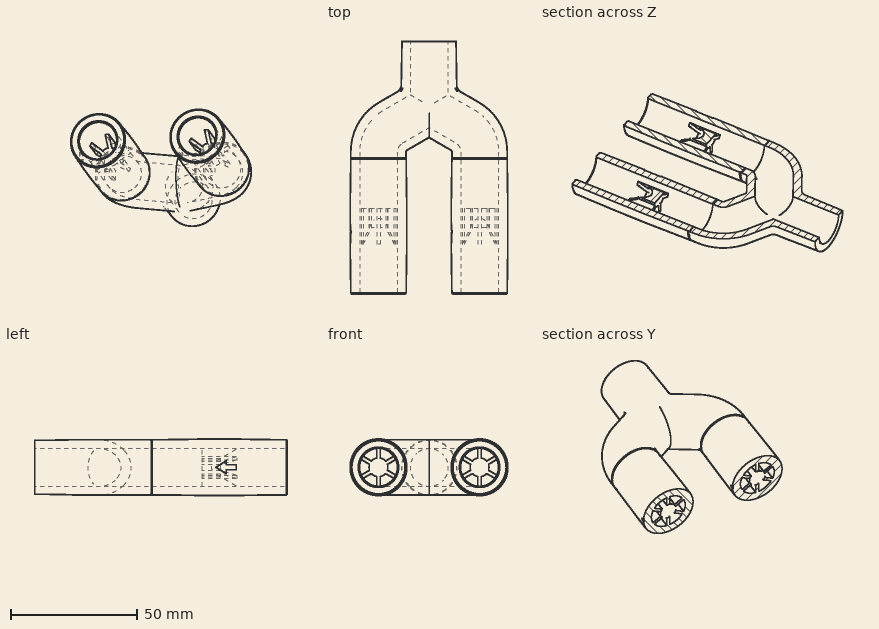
import cadquery as cq
import math


leg_spacing = 40.0
pipe_radius = 11.0
bore_radius = 7.5

valve_length = 54.0
band_radius = 11.25
band_length = 14.0
edge_chamfer = 0.5
arrow_tail_gap = 0.3
arrow_length = 8.0
arrow_head_length = 4.0
arrow_head_width = 5.0
arrow_shaft_width = 2.0
arrow_depth = 0.2

spoke_count = 6
spoke_width = 1.5
spoke_reach = 9.0
hub_radius = 3.75
dish_radius = 2.5
funnel_half_angle = 30.0

total_length = 100.09
leg_stub_length = 2.5
bend_angle = 60.0
bend_radius = 11.5
outlet_length = 16.0
outlet_end_radius = 10.75
neck_fillet = 3.0

band_start = (valve_length - band_length) / 2
band_end = band_start + band_length

funnel_slope = 1 / math.tan(math.radians(funnel_half_angle))
funnel_end = band_start + (bore_radius - dish_radius) * funnel_slope
dish_sphere_radius = dish_radius / math.cos(math.radians(funnel_half_angle))
dish_center_y = funnel_end - dish_sphere_radius * math.sin(math.radians(funnel_half_angle))
dish_bottom = dish_center_y + dish_sphere_radius

bend_start = valve_length + leg_stub_length
leg_x = leg_spacing / 2
pivot_x = leg_x - bend_radius
bend_radians = math.radians(bend_angle)
branch_start_x = pivot_x + bend_radius * math.cos(bend_radians)
branch_start_y = bend_start + bend_radius * math.sin(bend_radians)
branch_meet_y = branch_start_y + branch_start_x / math.tan(bend_radians)
branch_length = branch_start_x / math.sin(bend_radians)
outlet_start = total_length - outlet_length


def rod(radius, start_y, end_y):
    """Cylinder along +Y centred on the Y axis."""
    return cq.Workplane("XZ", origin=(0, start_y, 0)).circle(radius).extrude(start_y - end_y)


def revolve_about_y(profile):
    return profile.revolve(360, (0, 0, 0), (0, 1, 0))


def valve_shell():
    outer_end = pipe_radius - edge_chamfer
    bore_end = bore_radius + edge_chamfer
    profile = (
        cq.Workplane("XY")
        .moveTo(bore_end, 0)
        .lineTo(outer_end, 0)
        .lineTo(pipe_radius, edge_chamfer)
        .lineTo(band_radius, band_start)
        .lineTo(band_radius, band_end)
        .lineTo(pipe_radius, valve_length - edge_chamfer)
        .lineTo(outer_end, valve_length)
        .lineTo(bore_radius, valve_length)
        .lineTo(bore_radius, edge_chamfer)
        .close()
    )
    return revolve_about_y(profile)


def spider():
    """Hub and spokes, with a funnel and a round dish sunk into the -Y side."""
    body = rod(hub_radius, band_start, band_end)
    for index in range(spoke_count):
        spoke = (
            cq.Workplane("XY")
            .box(spoke_width, band_length, spoke_reach, centered=(True, False, False))
            .translate((0, band_start, 0))
            .rotate((0, 0, 0), (0, 1, 0), index * 360 / spoke_count)
        )
        body = body.union(spoke)
    dish_angle = math.radians((90 + funnel_half_angle) / 2)
    funnel = (
        cq.Workplane("XY")
        .moveTo(0, band_start)
        .lineTo(bore_radius, band_start)
        .lineTo(dish_radius, funnel_end)
        .threePointArc(
            (
                dish_sphere_radius * math.cos(dish_angle),
                dish_center_y + dish_sphere_radius * math.sin(dish_angle),
            ),
            (0, dish_bottom),
        )
        .close()
    )
    return body.cut(revolve_about_y(funnel))


def flow_arrow():
    """Arrow engraved in the -X side of the band, pointing along the flow toward +Y."""
    tail = band_start + arrow_tail_gap
    neck = tail + arrow_length - arrow_head_length
    tip = tail + arrow_length
    half_shaft = arrow_shaft_width / 2
    half_head = arrow_head_width / 2
    outline = [
        (tail, -half_shaft),
        (neck, -half_shaft),
        (neck, -half_head),
        (tip, 0),
        (neck, half_head),
        (neck, half_shaft),
        (tail, half_shaft),
    ]
    prism = cq.Workplane("YZ").polyline(outline).close().extrude(-2 * band_radius)
    return prism.cut(rod(band_radius - arrow_depth, 0, valve_length))


def check_valve(center_x):
    valve = valve_shell().union(spider()).cut(flow_arrow())
    return valve.translate((center_x, 0, 0))


def branch_pipe(radius):
    """Pipe from the +X valve through the bend to the middle plane and beyond it."""
    leg = rod(radius, valve_length, bend_start).translate((leg_x, 0, 0))
    bend = (
        cq.Workplane("XZ", origin=(leg_x, bend_start, 0))
        .circle(radius)
        .revolve(bend_angle, (-bend_radius, 0, 0), (-bend_radius, 1, 0))
    )
    direction = cq.Vector(-math.sin(bend_radians), math.cos(bend_radians), 0)
    start = cq.Plane(origin=(branch_start_x, branch_start_y, 0), xDir=(0, 0, 1), normal=direction)
    branch = cq.Workplane(start).circle(radius).extrude(branch_length + 2 * radius)
    return leg.union(bend).union(branch)


def plus_x_half(body):
    keep = cq.Workplane("XY").box(
        2 * leg_spacing, 2 * total_length, 2 * leg_spacing, centered=(False, True, True)
    )
    return body.intersect(keep)


def wye():
    half = plus_x_half(branch_pipe(pipe_radius)).union(
        plus_x_half(rod(pipe_radius, branch_meet_y, outlet_start))
    )
    outlet = (
        cq.Workplane("XZ", origin=(0, outlet_start, 0))
        .circle(pipe_radius)
        .workplane(offset=-outlet_length)
        .circle(outlet_end_radius)
        .loft()
    )
    margin = 0.1
    neck = cq.selectors.BoxSelector(
        (margin, branch_meet_y - margin, -pipe_radius - margin),
        (pipe_radius + margin, outlet_start - margin, pipe_radius + margin),
    )
    half = half.edges(neck).fillet(neck_fillet)
    body = half.union(half.mirror("YZ")).union(outlet)
    branch_bore = plus_x_half(branch_pipe(bore_radius))
    body = body.cut(branch_bore).cut(branch_bore.mirror("YZ"))
    return body.cut(rod(bore_radius, branch_meet_y, total_length))


valves = [check_valve(side * leg_x) for side in (-1, 1)]
manifold = wye()
result = cq.Compound.makeCompound([manifold.val()] + [valve.val() for valve in valves])